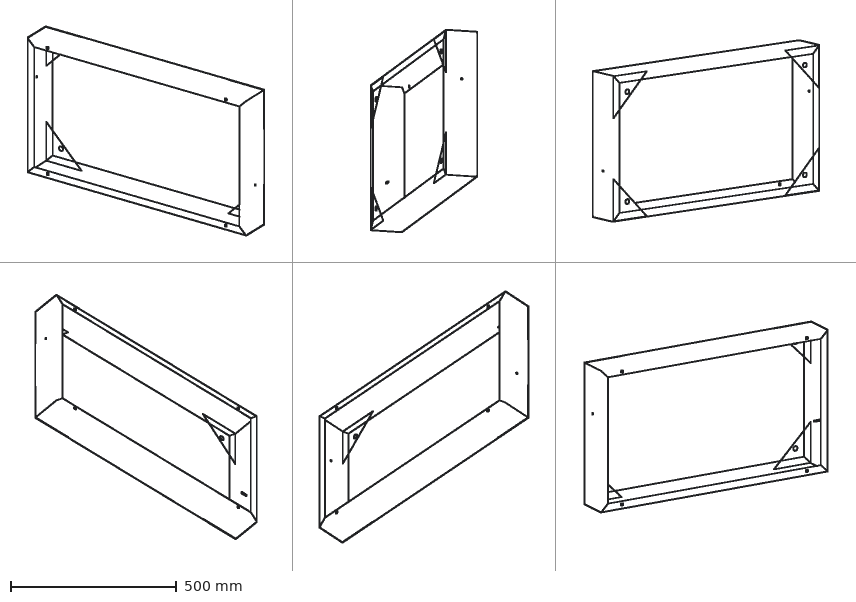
import cadquery as cq

LENGTH = 800.0
DEPTH = 100.0
HEIGHT = 450.0

SHEET = 1.0
BEND_RADIUS = 2.0
FLANGE = 25.0

SCREW_DIAMETER = 8.0
SCREW_FROM_END = 74.0
SCREW_FROM_EDGE = 14.0

GUSSET_LEG = 130.0
GUSSET_HOLE_DIAMETER = 14.0
GUSSET_HOLE_FROM_EDGE = 56.0

STUD_DIAMETER = 5.0
STUD_LENGTH = 18.0
STUD_BELOW_CENTRE = 75.0

HALF_TURN = 180
QUARTER_TURN = 90


def turned_about_y(body, angle):
    return body.rotate((0, 0, 0), (0, 1, 0), angle)


def rounded_bar(length, depth, height, radius):
    """A solid bar along X with its four long edges rounded."""
    return cq.Workplane("YZ").rect(depth, height).extrude(length / 2, both=True).edges("|X").fillet(radius)


def channel(length):
    """A C channel along X with mitred ends; its web faces up with the outer face at Z = 0."""
    outside = rounded_bar(length, DEPTH, 2 * FLANGE, BEND_RADIUS)
    inside = rounded_bar(length, DEPTH - 2 * SHEET, 2 * (FLANGE - SHEET), BEND_RADIUS - SHEET)
    tube = outside.cut(inside).translate((0, 0, -FLANGE))

    outer_end = length / 2
    inner_end = outer_end - FLANGE
    mitred_outline = (
        cq.Workplane("XZ")
        .polyline([(-outer_end, 0), (outer_end, 0), (inner_end, -FLANGE), (-inner_end, -FLANGE)])
        .close()
        .extrude(DEPTH / 2, both=True)
    )
    return tube.intersect(mitred_outline)


def long_rail():
    """The top rail, with two screw holes through its front flange."""
    hole_x = LENGTH / 2 - SCREW_FROM_END
    holes = (
        cq.Workplane("XZ", origin=(0, -DEPTH / 2 + SHEET, 0))
        .pushPoints([(-hole_x, -SCREW_FROM_EDGE), (hole_x, -SCREW_FROM_EDGE)])
        .circle(SCREW_DIAMETER / 2)
        .extrude(SHEET)
    )
    return channel(LENGTH).cut(holes).translate((0, 0, HEIGHT / 2))


def stud_shaft(length):
    """A round shaft running inward from the outer face of the +X rail."""
    return (
        cq.Workplane("YZ", origin=(LENGTH / 2, 0, -STUD_BELOW_CENTRE))
        .circle(STUD_DIAMETER / 2)
        .extrude(-length)
    )


def short_rail():
    """The +X rail, with a stud hole through its web."""
    rail = turned_about_y(channel(HEIGHT), QUARTER_TURN).translate((LENGTH / 2, 0, 0))
    return rail.cut(stud_shaft(SHEET))


def gusset(side_x, side_z):
    """A drilled triangle in one corner, lying on the inner face of the rear flanges."""
    corner_x = LENGTH / 2 - BEND_RADIUS
    corner_z = HEIGHT / 2 - BEND_RADIUS
    hole_x = LENGTH / 2 - GUSSET_HOLE_FROM_EDGE
    hole_z = HEIGHT / 2 - GUSSET_HOLE_FROM_EDGE
    outline = [
        (side_x * corner_x, side_z * corner_z),
        (side_x * (corner_x - GUSSET_LEG), side_z * corner_z),
        (side_x * corner_x, side_z * (corner_z - GUSSET_LEG)),
    ]
    return (
        cq.Workplane("XZ", origin=(0, DEPTH / 2 - SHEET, 0))
        .polyline(outline)
        .close()
        .moveTo(side_x * hole_x, side_z * hole_z)
        .circle(GUSSET_HOLE_DIAMETER / 2)
        .extrude(SHEET)
    )


long_rails = [turned_about_y(long_rail(), angle) for angle in (0, HALF_TURN)]
short_rails = [turned_about_y(short_rail(), angle) for angle in (0, HALF_TURN)]
gussets = [gusset(side_x, side_z) for side_x in (-1, 1) for side_z in (-1, 1)]
stud = stud_shaft(STUD_LENGTH)

bodies = [*long_rails, *short_rails, *gussets, stud]
result = cq.Compound.makeCompound([body.val() for body in bodies])